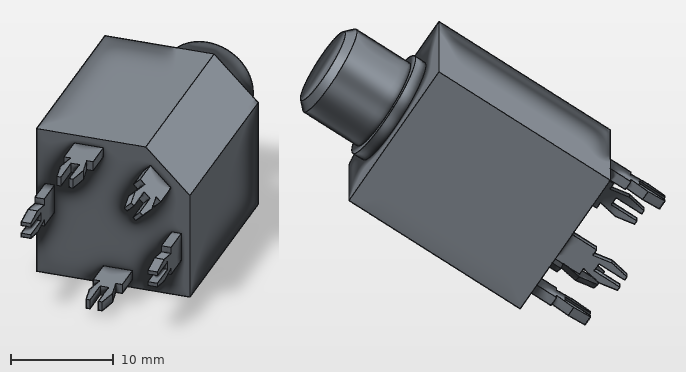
import cadquery as cq

total_length = 35.3
body_side = 15.8
body_length = 20.0
corner_cut = 4.55

flange_diameter = 11.23
flange_length = 1.2
barrel_diameter = 9.53
barrel_chamfer = 0.8

pin_thickness = 1.0
pin_base_width = 3.0
pin_base_length = 3.0
pin_neck_width = 1.65
pin_bulge_width = 2.4
pin_bulge_reach = 5.0
pin_length = 7.0
slot_width = 0.85
slot_start = 4.0

pin_center_distance = 6.53
pin_near_offset = 0.5
pin_far_offset = pin_near_offset - pin_base_width
corner_pin_offset = 4.55

pin_places = [
    (pin_far_offset, pin_center_distance, 0),
    (pin_near_offset, -pin_center_distance, 0),
    (-pin_center_distance, pin_near_offset, 90),
    (pin_center_distance, pin_far_offset, 90),
    (corner_pin_offset, corner_pin_offset, 45),
]

barrel_length = total_length - pin_length - body_length - flange_length


def make_body():
    """Square housing from Y = 0 to body_length with one long edge cut off."""
    block = cq.Workplane("XY").box(body_side, body_length, body_side)
    block = block.edges(">X and >Z").chamfer(corner_cut)
    return block.translate((0, body_length / 2, 0))


def make_cylinder(diameter, length, start):
    """Cylinder along +Y, beginning at Y = start."""
    profile = cq.Workplane("XZ", origin=(0, start, 0)).circle(diameter / 2)
    return profile.extrude(-length)


def make_pin():
    """Flat split pin in the XY plane, pointing along -Y from Y = 0."""
    right_edge = [
        (pin_base_width / 2, 0),
        (pin_base_width / 2, -pin_base_length),
        (pin_neck_width / 2, -pin_base_length),
        (pin_bulge_width / 2, -pin_bulge_reach),
        (pin_neck_width / 2, -pin_length),
        (slot_width / 2, -pin_length),
        (slot_width / 2, -slot_start),
    ]
    left_edge = [(-x, y) for x, y in reversed(right_edge)]
    outline = cq.Workplane("XY").polyline(right_edge + left_edge).close()
    return outline.extrude(pin_thickness / 2, both=True)


flange = make_cylinder(flange_diameter, flange_length, body_length)
barrel = make_cylinder(barrel_diameter, barrel_length, body_length + flange_length)
barrel = barrel.faces(">Y").chamfer(barrel_chamfer)

result = make_body().union(flange).union(barrel)
pin = make_pin()
for x, z, angle in pin_places:
    placed_pin = pin.rotate((0, 0, 0), (0, 1, 0), angle).translate((x, 0, z))
    result = result.union(placed_pin)